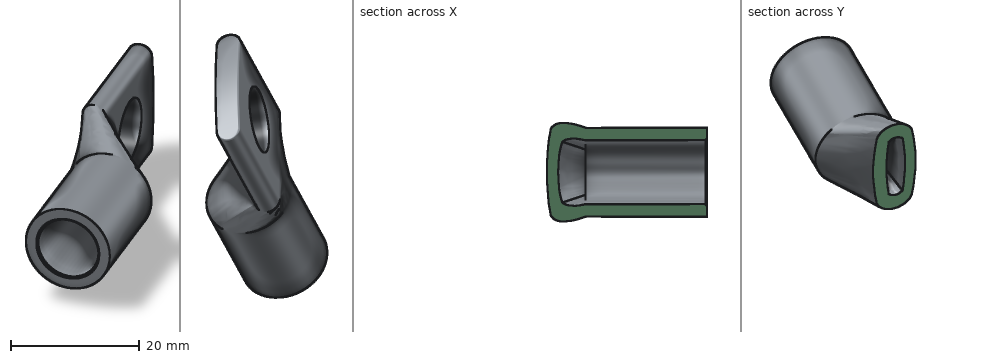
import cadquery as cq
import math

total_length = 49.9
total_width = 14.8
barrel_diameter = 14.0
barrel_length = 18.95
bore_diameter = 10.0
mouth_chamfer = 0.25
neck_end = 27.95
palm_thickness = 3.9
palm_height = 19.95
hole_diameter = 10.5
end_sagitta = 1.0
end_fillet = 0.3
side_half_angle = math.radians(45)
cavity_end_height = 13.0
cavity_end_thickness = 0.2

palm_x = palm_thickness / 2
barrel_x = total_width - barrel_diameter / 2
hole_y = (neck_end + total_length) / 2
cavity_end = neck_end - 0.5


def section_plane(x, y):
    """Plane across the lug at y, with local x along X and local y along Z."""
    return cq.Plane(origin=(x, y, 0), xDir=(1, 0, 0), normal=(0, -1, 0))


def round_wire(x, y, diameter):
    """Circle in four arcs: side arcs meet the slot flats, upper and lower arcs its round ends."""
    radius = diameter / 2
    side_x = radius * math.cos(side_half_angle)
    side_z = radius * math.sin(side_half_angle)
    return (
        cq.Workplane(section_plane(x, y))
        .moveTo(side_x, -side_z)
        .threePointArc((radius, 0), (side_x, side_z))
        .threePointArc((0, radius), (-side_x, side_z))
        .threePointArc((-radius, 0), (-side_x, -side_z))
        .threePointArc((0, -radius), (side_x, -side_z))
        .close()
        .val()
    )


def slot_wire(x, y, thickness, height):
    """Upright slot outline with full-round ends."""
    radius = thickness / 2
    straight = height / 2 - radius
    return (
        cq.Workplane(section_plane(x, y))
        .moveTo(radius, -straight)
        .lineTo(radius, straight)
        .threePointArc((0, height / 2), (-radius, straight))
        .lineTo(-radius, -straight)
        .threePointArc((0, -height / 2), (radius, -straight))
        .close()
        .val()
    )


def make_loft(first, last):
    return cq.Workplane(obj=cq.Solid.makeLoft([first, last], True))


def make_palm():
    """Round-edged palm with a crowned, filleted end and a stud hole."""
    outline = slot_wire(palm_x, neck_end, palm_thickness, palm_height)
    direction = cq.Vector(0, total_length - neck_end, 0)
    palm = cq.Workplane(obj=cq.Solid.extrudeLinear(outline, [], direction))
    half_height = palm_height / 2
    corner_y = total_length - end_sagitta
    crown = (
        cq.Workplane("YZ")
        .moveTo(neck_end, -half_height)
        .lineTo(corner_y, -half_height)
        .threePointArc((total_length, 0), (corner_y, half_height))
        .lineTo(neck_end, half_height)
        .close()
        .extrude(palm_thickness)
    )
    hole = cq.Workplane("YZ").center(hole_y, 0).circle(hole_diameter / 2).extrude(palm_thickness)
    return palm.intersect(crown).faces(">Y").edges().fillet(end_fillet).cut(hole)


def make_cavity():
    """Barrel bore that flattens to a thin slit inside the neck."""
    bore = cq.Workplane(section_plane(barrel_x, 0)).circle(bore_diameter / 2).extrude(-barrel_length)
    flattened = make_loft(
        round_wire(barrel_x, barrel_length, bore_diameter),
        slot_wire(palm_x, cavity_end, cavity_end_thickness, cavity_end_height),
    )
    return bore.union(flattened)


barrel = cq.Workplane(section_plane(barrel_x, 0)).circle(barrel_diameter / 2).extrude(-barrel_length)
neck = make_loft(
    round_wire(barrel_x, barrel_length, barrel_diameter),
    slot_wire(palm_x, neck_end, palm_thickness, palm_height),
)
lug = barrel.union(neck).union(make_palm()).cut(make_cavity())
mouth_edge = cq.selectors.RadiusNthSelector(0)
result = lug.faces("<Y").edges(mouth_edge).chamfer(mouth_chamfer)